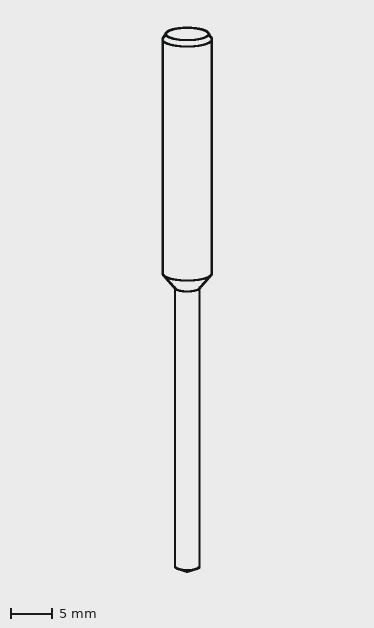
import cadquery as cq

total_length = 68.0
shank_diameter = 6.0
drill_diameter = 3.0
drill_length = 35.9
tip_height = 0.7
taper_height = 1.85
chamfer_height = 0.7
chamfer_width = 0.4

shank_radius = shank_diameter / 2
drill_radius = drill_diameter / 2
taper_top = drill_length + taper_height


def revolve_profile(points):
    """Revolve a closed (radius, height) profile about the Z axis."""
    return cq.Workplane("XZ").polyline(points).close().revolve(360, (0, 0), (0, 1))


def make_shank():
    """Cylindrical shank with a chamfered end and a taper down to the drill."""
    return revolve_profile([
        (0, drill_length),
        (drill_radius, drill_length),
        (shank_radius, taper_top),
        (shank_radius, total_length - chamfer_height),
        (shank_radius - chamfer_width, total_length),
        (0, total_length),
    ])


def make_drill():
    """Slim cylinder with a conical tip, butted against the shank taper."""
    return revolve_profile([
        (0, 0),
        (drill_radius, tip_height),
        (drill_radius, drill_length),
        (0, drill_length),
    ])


shank = make_shank()
drill = make_drill()

result = cq.Compound.makeCompound([shank.val(), drill.val()])